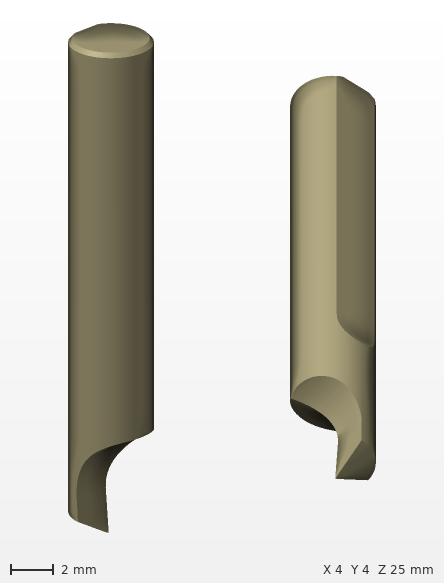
import cadquery as cq
import math

LENGTH = 24.98
RADIUS = 2.0
SWEEP_RADIUS = 3.0
CHAMFER = 0.2
FLAT_X = -1.62
FLAT_END_Z = 9.0
TIP_ANGLE = 30.0
TIP_X = -0.1
TIP_Y = -0.05
BACK_ANGLE = 5.0
X_ARC_Z = 2.5
Y_ARC_Z = 2.2
CLEARANCE = 1.0

OUTSIDE = RADIUS + CLEARANCE


def make_rod():
    """Round rod with a chamfered top and a conical lower end, revolved about Z."""
    slope = math.tan(math.radians(TIP_ANGLE))
    apex_z = -math.hypot(TIP_X, TIP_Y) * slope
    profile = [
        (0, apex_z),
        (RADIUS, apex_z + RADIUS * slope),
        (RADIUS, LENGTH - CHAMFER),
        (RADIUS - CHAMFER, LENGTH),
        (0, LENGTH),
    ]
    return cq.Workplane("XZ").polyline(profile).close().revolve(360, (0, 0), (0, 1))


def make_flat_cut():
    """Clamping flat on the -X side, running out along an arc at its lower end."""
    arc_x = FLAT_X - SWEEP_RADIUS
    return (
        cq.Workplane("XZ")
        .moveTo(FLAT_X, LENGTH + CLEARANCE)
        .lineTo(FLAT_X, FLAT_END_Z)
        .radiusArc((arc_x, FLAT_END_Z - SWEEP_RADIUS), SWEEP_RADIUS)
        .lineTo(arc_x, LENGTH + CLEARANCE)
        .close()
        .extrude(OUTSIDE, both=True)
    )


def make_relief_cut(plane, tip, arc_z, back_angle):
    """Remove the positive side of the lower end: a face from the tip blending into an arc."""
    lean = math.radians(back_angle)
    tangent_z = arc_z - SWEEP_RADIUS * math.sin(lean)
    tangent_u = tip - tangent_z * math.tan(lean)
    arc_u = tangent_u + SWEEP_RADIUS * math.cos(lean)
    bottom_u = tip + CLEARANCE * math.tan(lean)
    return (
        cq.Workplane(plane)
        .moveTo(bottom_u, -CLEARANCE)
        .lineTo(tangent_u, tangent_z)
        .radiusArc((arc_u, arc_z + SWEEP_RADIUS), SWEEP_RADIUS)
        .lineTo(arc_u, -CLEARANCE)
        .close()
        .extrude(OUTSIDE, both=True)
    )


result = (
    make_rod()
    .cut(make_flat_cut())
    .cut(make_relief_cut("XZ", TIP_X, X_ARC_Z, BACK_ANGLE))
    .cut(make_relief_cut("YZ", TIP_Y, Y_ARC_Z, 0.0))
)